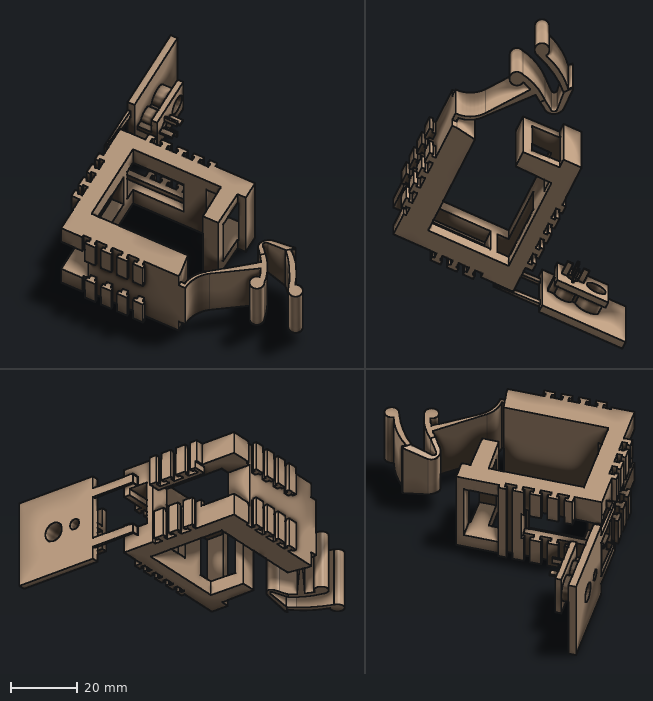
import cadquery as cq
import math

height = 28.6
half_height = height / 2
window_half = 7.1
lip_half = 4.9
clip_half = 9.55

left_outer = 2.65
left_recessed = 3.9
left_lip_depth = 5.5
left_inner = 9.6
front_outer = 2.4
front_inner = 10.6
front_corner_y = 1.6
rail_start_x = 11.2
back_inner = 37.6
back_lip_depth = 40.3
back_recessed = 42.45
back_outer = 43.7
back_end_x = 48.15
back_rail_end_x = 34.6
wall_top_end_x = 42.5
wall_foot_end_x = 43.7
leaf_top_y = 3.85
hook_left = 39.65
hook_right = 45.35
hook_tip_y = 25.45
hook_taper = 0.25

notch_x = 12.8
notch_y = 14.1
crossbar_front_y = 31.55
crossbar_back_y = 33.8
back_window_end_x = 26.9
slot_end_x = 45.75
slot_front_y = 28.5

rail_pitch = 5.45
rail_depth = 2.4
head_depth = rail_depth / 2
head_width = 3.45
neck_width = 1.9
first_rail_x = 14.7
rails_per_wall = 4
back_gap_end_x = first_rail_x + 2 * rail_pitch + head_width / 2
left_rail_face = left_recessed - 2.8
left_head_depth = 1.3
first_left_rail_y = 28.0
left_rail_count = 3
left_block_front_y = 13.65

plate_thickness = 2.4
plate_front_y = 52.25
plate_back_y = 80.3
arm_root_thickness = 1.05
arm_tip_thickness = 0.65
arm_front_y = 37.1
arm_outer_z = 10.1
tab_thickness = 0.25
large_hole_y = 67.2
large_hole_diameter = 6.3
large_boss_diameter = 8.0
small_hole_y = 59.2
small_hole_diameter = 3.45
small_boss_diameter = 6.2
socket_x = 7.2
socket_thickness = 1.9
socket_front_y = 54.1
socket_back_y = 71.2
rib_thickness = 1.8
pin_end_x = 13.4
pin_offset = 2.7
pin_width = 1.9
pin_thickness = 0.65

bead_diameter = 4.5
inner_bead = (64.2, 14.3)
outer_bead = (78.2 - bead_diameter / 2, 17.1)
bend_hinge = (60.9, 24.4)
bend_hinge_angle = 40
bend_taper_angle = 20
bend_reach = 8


def box(x0, x1, y0, y1, z0, z1):
    """Box between two opposite corners."""
    return cq.Workplane("XY").box(x1 - x0, y1 - y0, z1 - z0, centered=False).translate((x0, y0, z0))


def band(x0, x1, y0, y1, half):
    """Box reaching equally far above and below Z = 0."""
    return box(x0, x1, y0, y1, -half, half)


def make_frame():
    """C-shaped wall outline with the hook at the end of the back wall."""
    outline = [
        (left_recessed, front_corner_y),
        (rail_start_x, front_corner_y),
        (rail_start_x, front_outer),
        (wall_foot_end_x, front_outer),
        (wall_foot_end_x, leaf_top_y),
        (wall_top_end_x, front_inner),
        (left_inner, front_inner),
        (left_inner, back_inner),
        (hook_left, back_inner),
        (hook_left + hook_taper, hook_tip_y),
        (hook_right - hook_taper, hook_tip_y),
        (hook_right, back_inner),
        (back_end_x, back_inner),
        (back_end_x, back_outer),
        (back_rail_end_x, back_outer),
        (back_rail_end_x, back_recessed),
        (left_outer, back_recessed),
        (left_outer, crossbar_front_y),
        (left_recessed, crossbar_front_y),
    ]
    return cq.Workplane("XY").polyline(outline).close().extrude(half_height, both=True)


def cut_openings(frame):
    """Windows through the walls, the front corner notch and the slot for the clip."""
    frame = frame.cut(band(0, notch_x, 0, notch_y, window_half))
    frame = frame.cut(band(left_lip_depth, left_inner, notch_y, crossbar_front_y, window_half))
    frame = frame.cut(band(0, left_lip_depth, notch_y, crossbar_front_y, lip_half))
    frame = frame.cut(band(0, back_window_end_x, crossbar_back_y, back_lip_depth, window_half))
    frame = frame.cut(band(0, back_gap_end_x, back_lip_depth, back_recessed + rail_depth, lip_half))
    return frame.cut(band(back_rail_end_x, slot_end_x, slot_front_y, back_outer, clip_half))


def t_profile(neck_depth, flange_depth, bottom=lip_half):
    """T shape standing on the origin: a neck, then a wider flange beyond it, up to the top face."""
    flange_end = neck_depth + flange_depth
    neck = box(-neck_width / 2, neck_width / 2, 0, neck_depth, bottom, half_height)
    flange = box(-head_width / 2, head_width / 2, neck_depth, flange_end, bottom, half_height)
    return neck.union(flange)


def both_halves(upper):
    """The upper shape together with its mirror image in the lower half."""
    return upper.union(upper.mirror("XY"))


def add_front_rails(frame):
    """T rails standing out of the front wall."""
    rail = both_halves(t_profile(front_outer - head_depth, head_depth)).rotate((0, 0, 0), (0, 0, 1), 180)
    for i in range(rails_per_wall):
        frame = frame.union(rail.translate((first_rail_x + i * rail_pitch, front_outer, 0)))
    return frame


def add_back_rails(frame):
    """Block on the back wall with matching T slots cut through its whole height."""
    face_y = back_recessed + rail_depth
    frame = frame.union(band(rail_start_x, back_rail_end_x, back_recessed, face_y, half_height))
    slot = t_profile(head_depth, rail_depth - head_depth, -half_height).rotate((0, 0, 0), (0, 0, 1), 180)
    for i in range(rails_per_wall):
        frame = frame.cut(slot.translate((first_rail_x + i * rail_pitch, face_y, 0)))
    return frame


def add_left_rails(frame):
    """T slots in the upper half of the left wall, T rails in its lower half."""
    neck_depth = left_recessed - left_rail_face - left_head_depth
    block = box(left_rail_face, left_recessed, left_block_front_y, crossbar_front_y, lip_half, half_height)
    slot = t_profile(left_head_depth, neck_depth).rotate((0, 0, 0), (0, 0, 1), -90)
    rail = t_profile(neck_depth, left_head_depth).mirror("XY").rotate((0, 0, 0), (0, 0, 1), 90)
    for i in range(left_rail_count):
        y = first_left_rail_y - i * rail_pitch
        block = block.cut(slot.translate((left_rail_face, y, 0)))
        frame = frame.union(rail.translate((left_recessed, y, 0)))
    return frame.union(block)


def make_plate():
    """Plate with its socket, hanging on two thin arms from the left wall."""
    plate = band(0, plate_thickness, plate_front_y, plate_back_y, half_height)
    arm = (
        cq.Workplane("XY", origin=(0, 0, window_half))
        .moveTo(0, plate_front_y)
        .lineTo(arm_root_thickness, plate_front_y)
        .lineTo(arm_tip_thickness, arm_front_y + tab_thickness)
        .lineTo(left_outer, arm_front_y + tab_thickness)
        .lineTo(left_outer, arm_front_y)
        .lineTo(0, arm_front_y)
        .close()
        .extrude(arm_outer_z - window_half)
    )
    plate = plate.union(both_halves(arm))
    socket_end = socket_x + socket_thickness
    plate = plate.union(band(socket_x, socket_end, socket_front_y, socket_back_y, window_half))
    plate = plate.union(band(plate_thickness, socket_x, socket_front_y, large_hole_y, rib_thickness / 2))
    for y, diameter in ((large_hole_y, large_boss_diameter), (small_hole_y, small_boss_diameter)):
        boss = cq.Workplane("YZ", origin=(plate_thickness, y, 0)).circle(diameter / 2)
        plate = plate.union(boss.extrude(socket_x - plate_thickness))
    for y, diameter in ((large_hole_y, large_hole_diameter), (small_hole_y, small_hole_diameter)):
        hole = cq.Workplane("YZ", origin=(0, y, 0)).circle(diameter / 2)
        plate = plate.cut(hole.extrude(socket_end))
    for side in (-pin_offset, pin_offset):
        pins = cq.Workplane("YZ", origin=(socket_end, small_hole_y, 0))
        length = pin_end_x - socket_end
        plate = plate.union(pins.center(side, 0).rect(pin_width, pin_thickness).extrude(length))
        plate = plate.union(pins.center(0, side).rect(pin_thickness, pin_width).extrude(length))
    return plate


def make_bend_wedge():
    """Wedge above the bend, growing with the distance from the hinge line."""
    angle = math.radians(bend_hinge_angle)
    drop = bend_reach * math.tan(math.radians(bend_taper_angle))
    plane = cq.Plane(
        origin=(*bend_hinge, clip_half),
        xDir=(-math.sin(angle), math.cos(angle), 0),
        normal=(math.cos(angle), math.sin(angle), 0),
    )
    wedge = cq.Workplane(plane).polyline([(0, 0), (bend_reach, 0), (bend_reach, -drop)]).close()
    return wedge.extrude(2 * bend_reach, both=True)


def make_clip():
    """Leaf spring rising from the front wall to two jaws that end in round beads."""
    clip = (
        cq.Workplane("XY")
        .moveTo(wall_foot_end_x, front_outer)
        .lineTo(46.0, front_outer)
        .threePointArc((47.3, 7.5), (49.9, 10.5))
        .lineTo(62.8, 19.5)
        .lineTo(63.9, 16.85)
        .lineTo(*inner_bead)
        .lineTo(66.3, 14.9)
        .threePointArc((64.7, 20.15), (61.6, 24.8))
        .lineTo(58.8, 28.3)
        .threePointArc((58.75, 29.5), (59.6, 29.9))
        .lineTo(66.1, 29.05)
        .lineTo(68.15, 26.9)
        .threePointArc((71.4, 21.8), (73.7, 16.7))
        .lineTo(*outer_bead)
        .lineTo(74.65, 19.35)
        .threePointArc((71.8, 25.2), (67.8, 29.8))
        .lineTo(68.95, 30.65)
        .lineTo(68.4, 31.2)
        .lineTo(60.5, 31.7)
        .threePointArc((57.55, 29.2), (58.7, 26.0))
        .lineTo(61.8, 21.7)
        .lineTo(48.0, 10.1)
        .threePointArc((45.9, 7.3), (45.0, leaf_top_y))
        .lineTo(wall_foot_end_x, leaf_top_y)
        .close()
        .extrude(clip_half, both=True)
    )
    for centre in (inner_bead, outer_bead):
        bead = cq.Workplane("XY").center(*centre).circle(bead_diameter / 2)
        clip = clip.union(bead.extrude(clip_half, both=True))
    return clip.cut(both_halves(make_bend_wedge()))


frame = make_frame()
frame = add_front_rails(frame)
frame = add_back_rails(frame)
frame = add_left_rails(frame)
frame = cut_openings(frame)
result = frame.union(make_plate()).union(make_clip())